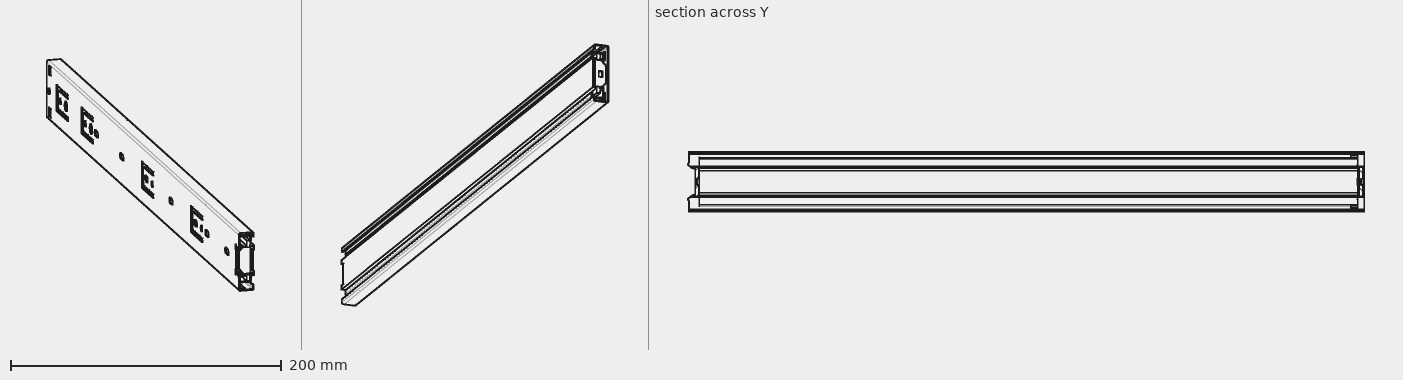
import cadquery as cq

LENGTH = 500.0
DEPTH = 12.5
HEIGHT = 44.5
LEFT_END = -LENGTH / 2
RIGHT_END = LENGTH / 2
FRONT_Y = -DEPTH / 2
BACK_Y = DEPTH / 2
SHEET = 1.0
BEND_RADIUS = 1.5

OUTER_BACK_Y = 5.5
OUTER_RIGHT = 249.0
OUTER_LIP_Z = 18.5
FLANGE_RIB_Y = -2.0
FLANGE_RIB_RADIUS = 1.0

LEFT_TONGUE_XS = (-225.0, -160.0)
MIDDLE_TONGUE_XS = (-3.5, 124.5)
SLIT_LENGTH = 30.0
SLIT_HEIGHT = 20.0
TONGUE_HEIGHT = 14.0
TONGUE_GAP = 4.5

SMALL_HOLE = 4.5
LARGE_HOLE = 7.5
LEFT_SMALL_HOLE_OFFSET = 10.0
LEFT_LARGE_HOLE_OFFSET = 25.0
MIDDLE_SLOT_OFFSET = 12.5
MIDDLE_HOLE_OFFSET = 27.5
SHORT_SLOT_LENGTH = 8.0
SCREW_SLOT_LENGTH = 9.5
SCREW_SLOT_XS = (-121.0, -55.0, 73.0, 166.5, 218.0)
END_HOLE_X = -244.0

CORNER_WINDOW_X = -242.5
CORNER_WINDOW_Z = 16.0
CORNER_WINDOW_LENGTH = 5.0
CORNER_WINDOW_HEIGHT = 6.5

NOTCH_X = 241.5
NOTCH_FLARE_X = 245.5
NOTCH_HALF = 9.5
NOTCH_MOUTH_HALF = 12.5
HORN_ROOT_Z = 14.5
NOTCH_RELIEF_RADIUS = 2.0

MIDDLE_FRONT_Y = -4.5
MIDDLE_BACK_Y = 5.5
MIDDLE_HEIGHT = 36.0
MIDDLE_LIP_Z = 14.0
MIDDLE_LEFT = -245.0
MIDDLE_RIGHT = 241.5
STEP_DEPTH = 1.5
STEP_START_Z = 8.0
STEP_END_Z = 10.0

INNER_HEIGHT = 23.0
INNER_LEG_Y = -2.5
INNER_RIGHT = 247.5
FOOT_FRONT_Y = 0.5
FOOT_BACK_Y = 3.0
FOOT_TIP_Z = 15.5
INNER_NOTCH_X = 244.5
INNER_NOTCH_HEIGHT = 16.5

STOP_LENGTH = 3.0
STOP_FRONT_Y = -4.5
STOP_BACK_Y = 4.0
STOP_CHAMFER = 3.5
RECESS_FRONT_Y = -2.0
RECESS_BACK_Y = 1.0
RECESS_HEIGHT = 4.5
RECESS_DEPTH = 1.5
STOP_LEFT_XS = (-249.0, INNER_NOTCH_X - STOP_LENGTH)


def box(x0, x1, y0, y1, z0, z1):
    """Box between two limits on each axis."""
    return cq.Workplane("XY").box(x1 - x0, y1 - y0, z1 - z0, centered=False).translate((x0, y0, z0))


def web_plate(sketch):
    """Extrude a sketch on the XZ plane through the thickness of the outer web only."""
    return sketch.extrude(-SHEET).translate((0, FRONT_Y, 0))


def round_hole(x, diameter):
    return web_plate(cq.Workplane("XZ").center(x, 0).circle(diameter / 2))


def long_hole(x, length):
    return web_plate(cq.Workplane("XZ").center(x, 0).slot2D(length, SMALL_HOLE))


def lipped_channel(x0, x1, front_y, back_y, height, lip_z):
    """Folded sheet: front web, two flanges and two lips ending at +-lip_z."""
    half = height / 2
    shell = box(x0, x1, front_y, back_y, -half, half).edges("|X").fillet(BEND_RADIUS)
    hollow = box(x0, x1, front_y + SHEET, back_y - SHEET, SHEET - half, half - SHEET)
    hollow = hollow.edges("|X").fillet(BEND_RADIUS - SHEET)
    mouth = box(x0, x1, back_y - SHEET, back_y, -lip_z, lip_z)
    return shell.cut(hollow).cut(mouth)


def u_slit(x):
    """Slit around three sides of a tongue that stays joined at its right end."""
    opening = web_plate(cq.Workplane("XZ").center(x + SLIT_LENGTH / 2, 0).rect(SLIT_LENGTH, SLIT_HEIGHT))
    tongue_length = SLIT_LENGTH - TONGUE_GAP
    tongue_x = x + TONGUE_GAP + tongue_length / 2
    tongue = web_plate(cq.Workplane("XZ").center(tongue_x, 0).rect(tongue_length, TONGUE_HEIGHT))
    return opening.cut(tongue)


def end_notch():
    """Notch widening toward the right end, with a round relief in each inner corner."""
    outline = [
        (NOTCH_X, -NOTCH_HALF),
        (NOTCH_FLARE_X, -NOTCH_HALF),
        (RIGHT_END, -NOTCH_MOUTH_HALF),
        (RIGHT_END, NOTCH_MOUTH_HALF),
        (NOTCH_FLARE_X, NOTCH_HALF),
        (NOTCH_X, NOTCH_HALF),
    ]
    reliefs = cq.Workplane("XZ").pushPoints([(NOTCH_X, -NOTCH_HALF), (NOTCH_X, NOTCH_HALF)])
    notch = web_plate(cq.Workplane("XZ").polyline(outline).close())
    return notch.union(web_plate(reliefs.circle(NOTCH_RELIEF_RADIUS)))


def end_horns():
    """Pointed tips of the web beside the notch, reaching past the ends of the flanges."""
    outline = [
        (NOTCH_FLARE_X, -HORN_ROOT_Z),
        (OUTER_RIGHT, -HORN_ROOT_Z),
        (RIGHT_END, -NOTCH_MOUTH_HALF),
        (RIGHT_END, NOTCH_MOUTH_HALF),
        (OUTER_RIGHT, HORN_ROOT_Z),
        (NOTCH_FLARE_X, HORN_ROOT_Z),
    ]
    return web_plate(cq.Workplane("XZ").polyline(outline).close())


def flange_rib(side):
    """Half-round rib along the inside of the upper (+1) or lower (-1) flange."""
    flange_z = side * (HEIGHT / 2 - SHEET)
    rib = cq.Workplane("YZ").center(FLANGE_RIB_Y, flange_z).circle(FLANGE_RIB_RADIUS)
    return rib.extrude(OUTER_RIGHT - LEFT_END).translate((LEFT_END, 0, 0))


def make_outer_member():
    body = lipped_channel(LEFT_END, OUTER_RIGHT, FRONT_Y, OUTER_BACK_Y, HEIGHT, OUTER_LIP_Z)
    body = body.union(end_horns())
    for side in (-1, 1):
        body = body.union(flange_rib(side))
        window = cq.Workplane("XZ").center(CORNER_WINDOW_X, side * CORNER_WINDOW_Z)
        body = body.cut(web_plate(window.rect(CORNER_WINDOW_LENGTH, CORNER_WINDOW_HEIGHT)))
    for x in LEFT_TONGUE_XS:
        body = body.cut(u_slit(x))
        body = body.cut(round_hole(x + LEFT_SMALL_HOLE_OFFSET, SMALL_HOLE))
        body = body.cut(round_hole(x + LEFT_LARGE_HOLE_OFFSET, LARGE_HOLE))
    for x in MIDDLE_TONGUE_XS:
        body = body.cut(u_slit(x))
        body = body.cut(long_hole(x + MIDDLE_SLOT_OFFSET, SHORT_SLOT_LENGTH))
        body = body.cut(round_hole(x + MIDDLE_HOLE_OFFSET, SMALL_HOLE))
    for x in SCREW_SLOT_XS:
        body = body.cut(long_hole(x, SCREW_SLOT_LENGTH))
    body = body.cut(round_hole(END_HOLE_X, SMALL_HOLE))
    return body.cut(end_notch())


def make_intermediate_member():
    body = lipped_channel(
        MIDDLE_LEFT, MIDDLE_RIGHT, MIDDLE_FRONT_Y, MIDDLE_BACK_Y, MIDDLE_HEIGHT, MIDDLE_LIP_Z
    )
    web_back_y = MIDDLE_FRONT_Y + SHEET
    flat_web = box(MIDDLE_LEFT, MIDDLE_RIGHT, MIDDLE_FRONT_Y, web_back_y, -STEP_END_Z, STEP_END_Z)
    stepped_outline = [
        (MIDDLE_FRONT_Y, -STEP_END_Z),
        (MIDDLE_FRONT_Y + STEP_DEPTH, -STEP_START_Z),
        (MIDDLE_FRONT_Y + STEP_DEPTH, STEP_START_Z),
        (MIDDLE_FRONT_Y, STEP_END_Z),
        (web_back_y, STEP_END_Z),
        (web_back_y + STEP_DEPTH, STEP_START_Z),
        (web_back_y + STEP_DEPTH, -STEP_START_Z),
        (web_back_y, -STEP_END_Z),
    ]
    stepped_web = cq.Workplane("YZ").polyline(stepped_outline).close().extrude(MIDDLE_RIGHT - MIDDLE_LEFT)
    return body.cut(flat_web).union(stepped_web.translate((MIDDLE_LEFT, 0, 0)))


def make_inner_member():
    half = INNER_HEIGHT / 2
    body = box(LEFT_END, INNER_RIGHT, INNER_LEG_Y, BACK_Y, -half, half)
    feet = box(LEFT_END, INNER_RIGHT, FOOT_FRONT_Y, FOOT_BACK_Y, -FOOT_TIP_Z, FOOT_TIP_Z)
    channel = box(LEFT_END, INNER_RIGHT, INNER_LEG_Y, BACK_Y - SHEET, SHEET - half, half - SHEET)
    notch_half = INNER_NOTCH_HEIGHT / 2
    notch = box(INNER_NOTCH_X, INNER_RIGHT, INNER_LEG_Y, BACK_Y, -notch_half, notch_half)
    return body.union(feet).cut(channel).cut(notch)


def make_end_stop(x):
    half = INNER_HEIGHT / 2 - SHEET
    block = box(x, x + STOP_LENGTH, STOP_FRONT_Y, STOP_BACK_Y, -half, half)
    block = block.edges("|X").edges("<Y").chamfer(STOP_CHAMFER)
    recess_half = RECESS_HEIGHT / 2
    recess = box(x, x + RECESS_DEPTH, RECESS_FRONT_Y, RECESS_BACK_Y, -recess_half, recess_half)
    return block.cut(recess)


outer_member = make_outer_member()
intermediate_member = make_intermediate_member()
inner_member = make_inner_member()
end_stops = [make_end_stop(x) for x in STOP_LEFT_XS]

result = cq.Compound.makeCompound(
    [
        outer_member.val(),
        intermediate_member.val(),
        inner_member.val(),
        *[stop.val() for stop in end_stops],
    ]
)